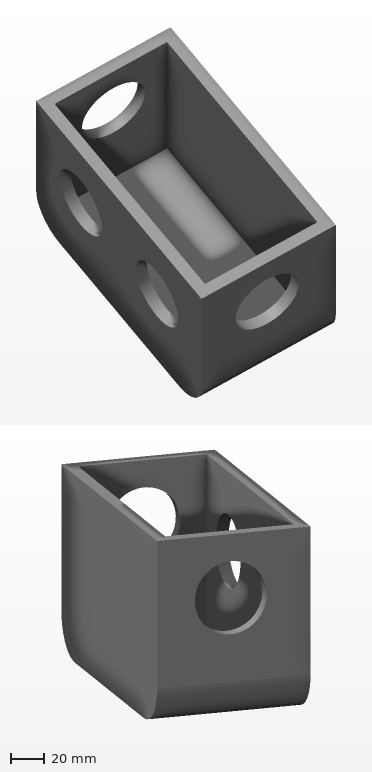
import cadquery as cq

length = 178.0
depth = 98.0
height = 118.0
bottom_radius = 25.0

wall = 8.0
floor_thickness = wall

hole_diameter = 46.0
front_hole_spacing = 82.0
front_hole_drop = 50.0
side_hole_drop = 40.0
left_hole_y = 2.0
right_hole_y = -1.0


def make_body():
    """Block whose two lower edges along Y are rounded."""
    block = cq.Workplane("XY").box(length, depth, height, centered=(True, True, False))
    return block.edges("|Y and <Z").fillet(bottom_radius)


def make_cavity():
    """Rectangular pocket from the top rim down to the floor."""
    cavity = cq.Workplane("XY").workplane(offset=floor_thickness)
    return cavity.rect(length - 2 * wall, depth - 2 * wall).extrude(height - floor_thickness)


def make_wall_cutter(start, direction):
    """Cylinder that starts on an outer face and passes through one wall."""
    axis_start = cq.Vector(*start)
    axis_direction = cq.Vector(*direction)
    return cq.Solid.makeCylinder(hole_diameter / 2, wall, axis_start, axis_direction)


result = make_body().cut(make_cavity())

front_hole_z = height - front_hole_drop
for x in (-front_hole_spacing / 2, front_hole_spacing / 2):
    result = result.cut(make_wall_cutter((x, -depth / 2, front_hole_z), (0, 1, 0)))

side_hole_z = height - side_hole_drop
result = result.cut(make_wall_cutter((-length / 2, left_hole_y, side_hole_z), (1, 0, 0)))
result = result.cut(make_wall_cutter((length / 2, right_hole_y, side_hole_z), (-1, 0, 0)))